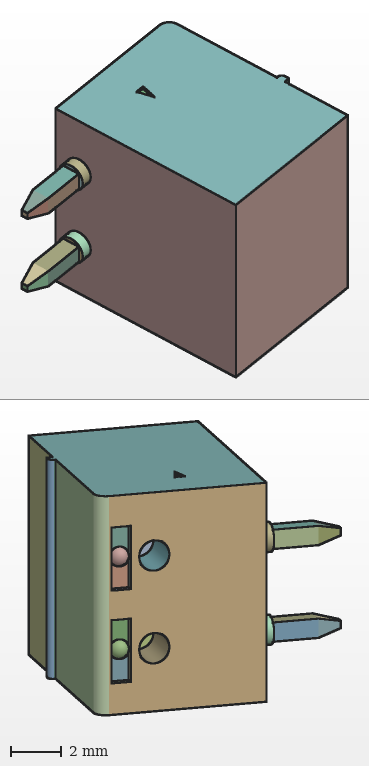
import cadquery as cq

body_x = 9.2
body_y = 7.0
body_z = 9.01
corner_radius = 0.5

overall_y = 10.65

pitch = 3.81
contact_heights = (-pitch / 2, pitch / 2)

pin_x = 1.2
collar_diameter = 1.2
collar_length = 0.5
pin_length = 3.4
pin_width = 0.8
tip_length = 1.0
tip_width = 0.3

slot_y = 6.01
slot_width = 0.8
slot_height = 2.6
slot_depth = 0.3
ball_radius = slot_width / 2

hole_y = 4.64
hole_diameter = 1.25
hole_depth = 2.13

rib_left = 5.59
rib_width = 0.4
rib_height = overall_y - pin_length - body_y
rib_corner_radius = 0.19

mark_x = 1.84
mark_y = 3.01
mark_length = 0.75
mark_width = 0.42
mark_depth = 0.11


def make_housing():
    """Block with the rounded edge between its left and back faces."""
    block = cq.Workplane("XY").box(body_x, body_y, body_z, centered=(False, False, True))
    return block.edges("<X and >Y").fillet(corner_radius)


def make_rib():
    """Rib with its left edge rounded."""
    rib = cq.Workplane("XY").box(rib_width, rib_height, body_z, centered=(False, False, True))
    rib = rib.edges("<X and >Y").fillet(rib_corner_radius)
    return rib.translate((rib_left, body_y, 0))


def make_pin(z):
    """Round collar, square shank and tapered tip, running toward -Y."""
    front = cq.Workplane("XZ", origin=(pin_x, 0, z))
    collar = front.circle(collar_diameter / 2).extrude(collar_length)
    shank_length = pin_length - tip_length
    shank = front.rect(pin_width, pin_width).extrude(shank_length)
    tip = (
        front.workplane(offset=shank_length)
        .rect(pin_width, pin_width)
        .workplane(offset=tip_length)
        .rect(tip_width, tip_width)
        .loft(ruled=True)
    )
    return collar.union(shank).union(tip)


def make_slot(z):
    """Rectangular pocket cutter for the left face."""
    slot = cq.Workplane("XY").box(slot_depth, slot_width, slot_height, centered=(False, True, True))
    return slot.translate((0, slot_y, z))


def make_ball(z):
    """Ball centred on the slot floor, standing a little proud of the left face."""
    return cq.Workplane("XY").sphere(ball_radius).translate((slot_depth, slot_y, z))


def make_hole(z):
    """Round hole cutter for the left face."""
    return cq.Workplane("YZ", origin=(0, hole_y, z)).circle(hole_diameter / 2).extrude(hole_depth)


def make_mark():
    """Triangular cutter for the top face."""
    corners = [
        (mark_x, mark_y - mark_width / 2),
        (mark_x, mark_y + mark_width / 2),
        (mark_x + mark_length, mark_y),
    ]
    return cq.Workplane("XY", origin=(0, 0, body_z / 2)).polyline(corners).close().extrude(-mark_depth)


result = make_housing().union(make_rib()).cut(make_mark())
for height in contact_heights:
    result = result.cut(make_slot(height)).cut(make_hole(height))
    result = result.union(make_ball(height)).union(make_pin(height))